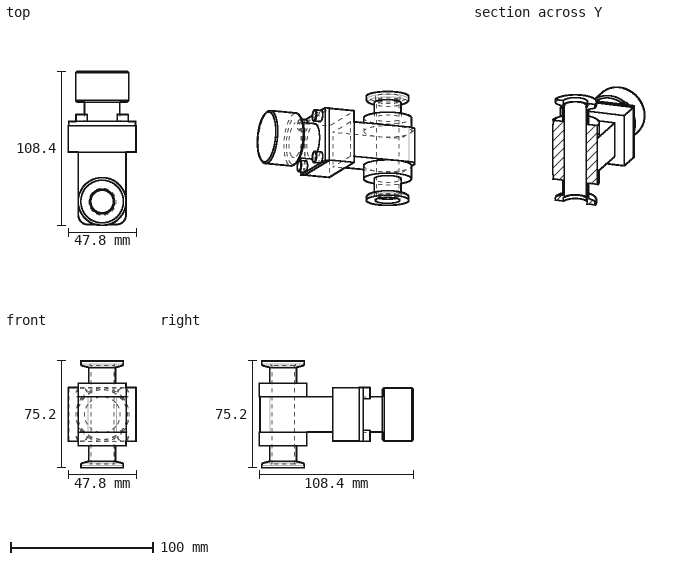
import cadquery as cq
import math


total_length = 108.4
total_height = 75.2

body_width = 33.7
body_height = 25.0
body_front_y = -16.3
body_corner_radius = 6.8

boss_diameter = body_width
boss_height = 9.5
tube_diameter = 19.0
bore_diameter = 16.0
flange_diameter = 30.0
flange_rim_height = 2.0
flange_fillet = 1.6
flange_back_angle = math.radians(15)
seat_diameter = 17.3
seat_depth = 2.9

bonnet_width = 47.8
bonnet_height = 37.5
bonnet_length = 18.6
cover_width = 47.3
cover_height = 38.0
cover_thickness = 2.9

screw_diameter = 8.0
screw_head_height = 4.9
screw_spacing_x = 28.9
screw_spacing_z = cover_height - screw_diameter
screw_edge_chamfer = 0.3

knob_diameter = 37.5
knob_length = 21.7
knob_back_chamfer = 1.1
knob_front_chamfer = 1.3
stem_diameter = 25.0

front_y = -boss_diameter / 2
back_y = front_y + total_length
bonnet_front_y = 34.8
cover_front_y = bonnet_front_y + bonnet_length
cover_back_y = cover_front_y + cover_thickness
knob_front_y = back_y - knob_length


def box_along_y(width, height, y_start, y_end):
    """Block centred on X and Z that spans the given Y range."""
    return cq.Workplane("XY").box(width, y_end - y_start, height).translate((0, (y_start + y_end) / 2, 0))


def rod_along_y(diameter, y_start, y_end, x=0, z=0):
    """Cylinder parallel to Y that spans the given Y range."""
    plane = cq.Workplane("XZ", origin=(x, y_start, z))
    return plane.circle(diameter / 2).extrude(y_start - y_end)


def rod_along_z(diameter, z_start, z_end):
    """Cylinder on the port axis that spans the given Z range."""
    return cq.Workplane("XY").workplane(offset=z_start).circle(diameter / 2).extrude(z_end - z_start)


def make_body():
    block = box_along_y(body_width, body_height, body_front_y, bonnet_front_y)
    return block.edges("|Z and <Y").fillet(body_corner_radius)


def make_upper_flange():
    """Clamp flange with a flat face, a rounded rim and a conical back."""
    top = total_height / 2
    rim_radius = flange_diameter / 2
    tube_radius = tube_diameter / 2
    arc_x = rim_radius - flange_fillet
    arc_z = top - flange_rim_height

    def on_arc(angle_below_x):
        return (
            arc_x + flange_fillet * math.cos(angle_below_x),
            arc_z - flange_fillet * math.sin(angle_below_x),
        )

    arc_sweep = math.pi / 2 - flange_back_angle
    cone_start = on_arc(arc_sweep)
    cone_drop = (cone_start[0] - tube_radius) * math.tan(flange_back_angle)
    profile = (
        cq.Workplane("XZ")
        .moveTo(0, top)
        .lineTo(rim_radius, top)
        .lineTo(rim_radius, arc_z)
        .threePointArc(on_arc(arc_sweep / 2), cone_start)
        .lineTo(tube_radius, cone_start[1] - cone_drop)
        .lineTo(0, cone_start[1] - cone_drop)
        .close()
    )
    return profile.revolve(360, (0, 0, 0), (0, 1, 0))


def make_ports():
    """Two mirrored ports, each a boss on the body and a flange on the tube."""
    boss = rod_along_z(boss_diameter, body_height / 2, body_height / 2 + boss_height)
    tube = rod_along_z(tube_diameter, 0, total_height / 2)
    upper_port = tube.union(boss).union(make_upper_flange())
    return upper_port.union(upper_port.mirror("XY"))


def make_port_bore():
    """Through bore with a shallow seat at both flange faces."""
    top = total_height / 2
    bore = rod_along_z(bore_diameter, -top, top)
    seat = rod_along_z(seat_diameter, top - seat_depth, top)
    return bore.union(seat).union(seat.mirror("XY"))


def make_bonnet():
    block = box_along_y(bonnet_width, bonnet_height, bonnet_front_y, cover_front_y)
    cover = box_along_y(cover_width, cover_height, cover_front_y, cover_back_y)
    bonnet = block.union(cover)
    for x in (-screw_spacing_x / 2, screw_spacing_x / 2):
        for z in (-screw_spacing_z / 2, screw_spacing_z / 2):
            head = rod_along_y(screw_diameter, cover_back_y, cover_back_y + screw_head_height, x, z)
            bonnet = bonnet.union(head.faces(">Y").edges().chamfer(screw_edge_chamfer))
    return bonnet


def make_knob():
    stem = rod_along_y(stem_diameter, cover_back_y, knob_front_y)
    knob = rod_along_y(knob_diameter, knob_front_y, back_y)
    knob = knob.faces(">Y").edges().chamfer(knob_back_chamfer)
    knob = knob.faces("<Y").edges().chamfer(knob_front_chamfer)
    return stem.union(knob)


result = make_body().union(make_ports()).union(make_bonnet()).union(make_knob()).cut(make_port_bore())